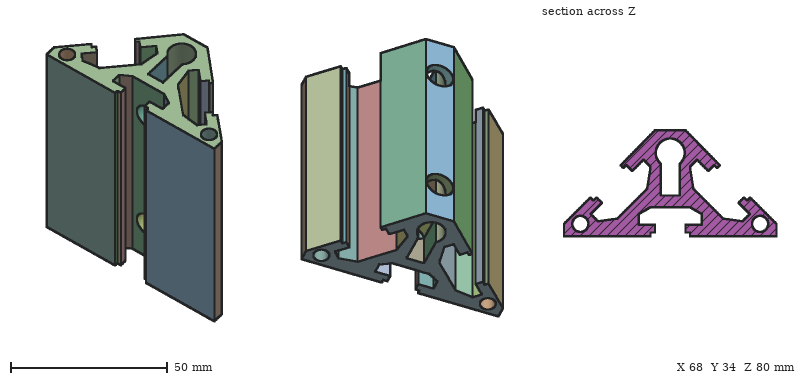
import cadquery as cq
import math

width = 68.0
depth = 34.0
length = 80.0
half_width = width / 2

top_flat_half = 4.85
side_wall_height = 4.0

base_mouth_half = 6.25
base_neck_half = 4.85
base_rebate_depth = 1.2
base_lip_depth = 3.75
base_cavity_half = 10.05
base_shoulder_depth = 7.15
base_roof_half = 6.4
base_slot_depth = 9.25

slot_floor_out = 16.0
slot_floor_up = 5.5
slot_floor_down = -7.9
upper_wall_out = 20.2
upper_wall_up = 11.25
upper_lip_inner_out = 23.4
upper_rebate_out = 26.05
upper_tip_out = 27.3
upper_rebate_up = 6.15
upper_tip_up = 4.85
lower_wall_out = 19.8
lower_wall_down = -12.9
lower_lip_inner_out = 23.0
lower_rebate_out = 25.5
lower_tip_down = -7.85
lower_rebate_down = -9.25

keyhole_radius = 4.6
keyhole_center_y = 26.7
keyhole_slot_width = 6.0
keyhole_slot_floor_y = 13.1

end_channel_diameter = 5.1
end_channel_x = 28.75
end_channel_y = 4.0

mounting_hole_diameter = 9.2
mounting_hole_inset = 15.0


def from_slot_frame(out, up):
    """Turn a point of the sloping slot's frame into profile X and Y."""
    root = math.sqrt(2)
    return ((out - up) / root, (out + up) / root)


def right_half_outline():
    """Points of the right half, from the base slot roof round to the top flat."""
    base_slot = [
        (base_roof_half, base_slot_depth),
        (base_cavity_half, base_shoulder_depth),
        (base_cavity_half, base_lip_depth),
        (base_neck_half, base_lip_depth),
        (base_neck_half, base_rebate_depth),
        (base_mouth_half, base_rebate_depth),
        (base_mouth_half, 0),
    ]
    end_wall = [(half_width, 0), (half_width, side_wall_height)]
    lower_face_out = (half_width + side_wall_height) / math.sqrt(2)
    sloping_slot = [
        (lower_face_out, lower_rebate_down),
        (lower_rebate_out, lower_rebate_down),
        (lower_rebate_out, lower_tip_down),
        (lower_lip_inner_out, lower_tip_down),
        (lower_lip_inner_out, lower_wall_down),
        (lower_wall_out, lower_wall_down),
        (slot_floor_out, slot_floor_down),
        (slot_floor_out, slot_floor_up),
        (upper_wall_out, upper_wall_up),
        (upper_lip_inner_out, upper_wall_up),
        (upper_lip_inner_out, upper_rebate_up),
        (upper_rebate_out, upper_rebate_up),
        (upper_rebate_out, upper_tip_up),
        (upper_tip_out, upper_tip_up),
    ]
    slot_points = [from_slot_frame(out, up) for out, up in sloping_slot]
    return base_slot + end_wall + slot_points + [(top_flat_half, depth)]


def profile_body():
    right = right_half_outline()
    left = [(-x, y) for x, y in reversed(right)]
    return cq.Workplane("XY").polyline(right + left).close().extrude(length)


def keyhole_channel():
    slot_height = keyhole_center_y - keyhole_slot_floor_y
    slot_middle_y = keyhole_slot_floor_y + slot_height / 2
    bore = cq.Workplane("XY").center(0, keyhole_center_y).circle(keyhole_radius).extrude(length)
    slot = cq.Workplane("XY").center(0, slot_middle_y).rect(keyhole_slot_width, slot_height).extrude(length)
    return bore.union(slot)


def end_channels():
    centers = [(side * end_channel_x, end_channel_y) for side in (-1, 1)]
    return cq.Workplane("XY").pushPoints(centers).circle(end_channel_diameter / 2).extrude(length)


def mounting_holes():
    centers = [(0, z) for z in (mounting_hole_inset, length - mounting_hole_inset)]
    return cq.Workplane("XZ").pushPoints(centers).circle(mounting_hole_diameter / 2).extrude(-depth)


result = profile_body().cut(keyhole_channel()).cut(end_channels()).cut(mounting_holes())